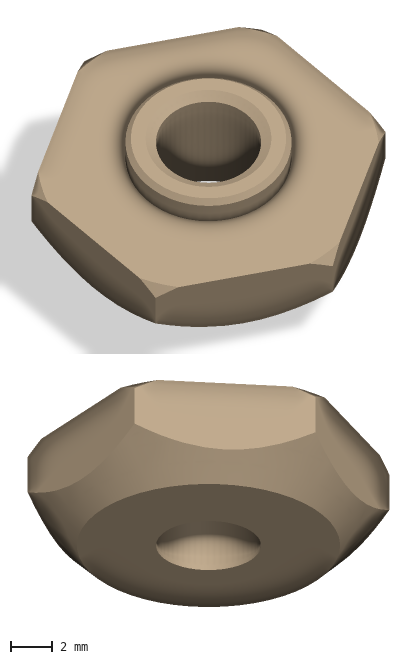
import cadquery as cq

across_corners = 17.32
body_height = 4.8
corner_radius = across_corners / 2

top_face_radius = 8.15
bottom_face_radius = 6.27
top_drop = corner_radius - top_face_radius
bottom_rise = corner_radius - bottom_face_radius

total_height = 6.2
collar_diameter = 7.92
collar_chamfer = 0.26

bore_diameter = 5.0
mouth_diameter = 6.0
mouth_depth = 0.3


def make_hex_body():
    """Hexagon with corners on the X axis, trimmed by a cone at each end."""
    hexagon = cq.Workplane("XY").polygon(6, across_corners).extrude(body_height)
    trim = (
        cq.Workplane("XZ")
        .moveTo(0, 0)
        .lineTo(bottom_face_radius, 0)
        .lineTo(corner_radius, bottom_rise)
        .lineTo(corner_radius, body_height - top_drop)
        .lineTo(top_face_radius, body_height)
        .lineTo(0, body_height)
        .close()
        .revolve(360, (0, 0, 0), (0, 1, 0))
    )
    return hexagon.intersect(trim)


def make_collar():
    """Cylinder through the full height with a chamfered top rim."""
    return (
        cq.Workplane("XY")
        .circle(collar_diameter / 2)
        .extrude(total_height)
        .faces(">Z")
        .chamfer(collar_chamfer)
    )


def make_bore():
    """Through bore that flares in a shallow cone at the collar top."""
    bore_radius = bore_diameter / 2
    return (
        cq.Workplane("XZ")
        .moveTo(0, 0)
        .lineTo(bore_radius, 0)
        .lineTo(bore_radius, total_height - mouth_depth)
        .lineTo(mouth_diameter / 2, total_height)
        .lineTo(0, total_height)
        .close()
        .revolve(360, (0, 0, 0), (0, 1, 0))
    )


result = make_hex_body().union(make_collar()).cut(make_bore())